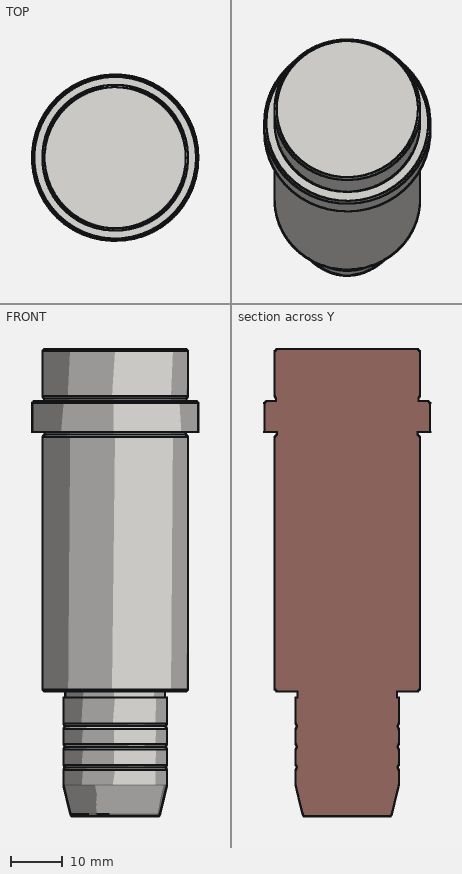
import cadquery as cq

total_length = 90.0
body_radius = 14.0
collar_radius = 16.0
tail_radius = 10.0
edge_chamfer = 0.45

collar_top = 80.0
collar_bottom = 74.0
body_bottom = 24.0
tail_shoulder = 22.95
taper_top = 6.0

neck_height = 0.45
upper_neck_radius = body_radius - 0.3
lower_neck_radius = body_radius - edge_chamfer
tail_neck_radius = tail_radius - 0.4

taper_end_radius = 8.6
tip_radius = 8.4

ring_width = 1.0
ring_depth = 0.3
ring_pitch = 4.0
ring_count = 3
first_ring_center = 9.45


def ring_groove(center):
    """Profile points of one V groove, from bottom to top."""
    return [
        (tail_radius, center - ring_width / 2),
        (tail_radius - ring_depth, center),
        (tail_radius, center + ring_width / 2),
    ]


tail_profile = [
    (0, 0),
    (tip_radius, 0),
    (taper_end_radius, edge_chamfer),
    (tail_radius, taper_top),
]
for index in range(ring_count):
    tail_profile += ring_groove(first_ring_center + index * ring_pitch)
tail_profile += [
    (tail_radius, tail_shoulder),
    (tail_neck_radius, tail_shoulder),
    (tail_neck_radius, body_bottom),
]

body_profile = [
    (body_radius - edge_chamfer, body_bottom),
    (body_radius, body_bottom + edge_chamfer),
    (body_radius, collar_bottom - neck_height - edge_chamfer),
    (lower_neck_radius, collar_bottom - neck_height),
    (lower_neck_radius, collar_bottom),
]

collar_profile = [
    (collar_radius, collar_bottom),
    (collar_radius, collar_top - edge_chamfer),
    (collar_radius - edge_chamfer, collar_top),
    (upper_neck_radius, collar_top),
]

head_profile = [
    (upper_neck_radius, collar_top + neck_height),
    (body_radius, collar_top + neck_height + edge_chamfer),
    (body_radius, total_length - edge_chamfer),
    (body_radius - edge_chamfer, total_length),
    (0, total_length),
]

profile = tail_profile + body_profile + collar_profile + head_profile
result = cq.Workplane("XZ").polyline(profile).close().revolve(360, (0, 0, 0), (0, 1, 0))